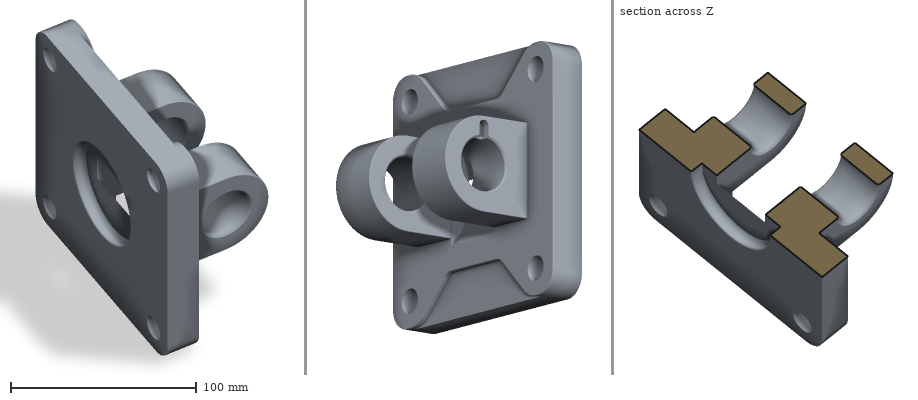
import cadquery as cq
import math

PLATE_SIZE = 140.0
PLATE_THICKNESS = 20.0
CORNER_RADIUS = 12.5
BACK_FILLET = 0.5
MOUNT_HOLE_OFFSET = 55.0
MOUNT_HOLE_DIAMETER = 14.0

RECESS_DIAMETER = 60.0
RECESS_DEPTH = 8.0
RECESS_RIM_FILLET = 1.0

PIN_HEIGHT = 50.0
LUG_GAP = 37.0
LUG_OUTER_WIDTH = 96.0
LUG_RADIUS = 26.5
LUG_EDGE_FILLET = 0.5
PIN_DIAMETER = 30.0
BORE_CHAMFER = 1.0

GROOVE_WIDTH = 6.3
GROOVE_TOP = 24.2
GROOVE_DEPTH = 6.0

CLEARANCE_RADIUS = 42.6

RELIEF_DEPTH = 4.0
EAR_RADIUS = PLATE_SIZE / 2 - MOUNT_HOLE_OFFSET
RELIEF_FLOOR_Z = 44.3
RELIEF_FILLET = 8.9

LUG_WIDTH = (LUG_OUTER_WIDTH - LUG_GAP) / 2


def cylinder_along_x(radius, x_start, length):
    """Cylinder on the pin axis."""
    start = cq.Vector(x_start, PIN_HEIGHT, 0)
    return cq.Workplane(obj=cq.Solid.makeCylinder(radius, length, start, cq.Vector(1, 0, 0)))


def make_blank():
    """Square plate with rounded corners and a recess with a rounded rim in the front face."""
    blank = (
        cq.Workplane("XZ")
        .rect(PLATE_SIZE, PLATE_SIZE)
        .extrude(-PLATE_THICKNESS)
        .edges("|Y")
        .fillet(CORNER_RADIUS)
    )
    recess = cq.Workplane("XZ").circle(RECESS_DIAMETER / 2).extrude(-RECESS_DEPTH)
    rim = cq.selectors.RadiusNthSelector(-1)
    return blank.cut(recess).faces("<Y").edges("%CIRCLE").edges(rim).fillet(RECESS_RIM_FILLET)


def make_mount_holes():
    """Four through holes on a square pattern."""
    hole_pitch = 2 * MOUNT_HOLE_OFFSET
    return (
        cq.Workplane("XZ")
        .rect(hole_pitch, hole_pitch, forConstruction=True)
        .vertices()
        .circle(MOUNT_HOLE_DIAMETER / 2)
        .extrude(-PLATE_THICKNESS)
    )


def make_relief():
    """Cutter for the +Z edge: ear arcs, 45 degree flanks and filleted bottom corners."""
    diagonal = math.sin(math.radians(45))
    half_angle = math.radians(22.5)
    edge_z = PLATE_SIZE / 2

    ear_mid_x = MOUNT_HOLE_OFFSET - EAR_RADIUS * math.sin(half_angle)
    ear_mid_z = MOUNT_HOLE_OFFSET + EAR_RADIUS * math.cos(half_angle)
    flank_top_x = MOUNT_HOLE_OFFSET - EAR_RADIUS * diagonal
    flank_top_z = MOUNT_HOLE_OFFSET + EAR_RADIUS * diagonal

    fillet_z = RELIEF_FLOOR_Z + RELIEF_FILLET
    flank_bottom_z = fillet_z - RELIEF_FILLET * diagonal
    flank_bottom_x = flank_top_x - (flank_top_z - flank_bottom_z)
    floor_x = flank_bottom_x - RELIEF_FILLET * diagonal
    fillet_mid_x = floor_x + RELIEF_FILLET * math.sin(half_angle)
    fillet_mid_z = fillet_z - RELIEF_FILLET * math.cos(half_angle)

    return (
        cq.Workplane("XZ", origin=(0, PLATE_THICKNESS - RELIEF_DEPTH, 0))
        .moveTo(-MOUNT_HOLE_OFFSET, edge_z)
        .threePointArc((-ear_mid_x, ear_mid_z), (-flank_top_x, flank_top_z))
        .lineTo(-flank_bottom_x, flank_bottom_z)
        .threePointArc((-fillet_mid_x, fillet_mid_z), (-floor_x, RELIEF_FLOOR_Z))
        .lineTo(floor_x, RELIEF_FLOOR_Z)
        .threePointArc((fillet_mid_x, fillet_mid_z), (flank_bottom_x, flank_bottom_z))
        .lineTo(flank_top_x, flank_top_z)
        .threePointArc((ear_mid_x, ear_mid_z), (MOUNT_HOLE_OFFSET, edge_z))
        .close()
        .extrude(-RELIEF_DEPTH)
    )


def make_plate():
    """Plate with relieved +Z and -Z edges and a rounded back outline."""
    relief = make_relief()
    plate = make_blank().cut(relief).cut(relief.mirror("XY"))
    plate = plate.faces(">Y").edges().fillet(BACK_FILLET)
    return plate.cut(make_mount_holes())


def make_lug(x_start):
    """Round-ended lug standing on the plate, with its side face edges rounded and its bore chamfered."""
    lug = (
        cq.Workplane("YZ", origin=(x_start, 0, 0))
        .moveTo(PLATE_THICKNESS, -LUG_RADIUS)
        .lineTo(PIN_HEIGHT, -LUG_RADIUS)
        .threePointArc((PIN_HEIGHT + LUG_RADIUS, 0), (PIN_HEIGHT, LUG_RADIUS))
        .lineTo(PLATE_THICKNESS, LUG_RADIUS)
        .close()
        .extrude(LUG_WIDTH)
        .faces("<X or >X")
        .edges()
        .fillet(LUG_EDGE_FILLET)
    )
    bore = cylinder_along_x(PIN_DIAMETER / 2, x_start, LUG_WIDTH)
    smallest = cq.selectors.RadiusNthSelector(0)
    return lug.cut(bore).faces("<X or >X").edges("%CIRCLE").edges(smallest).chamfer(BORE_CHAMFER)


def make_groove():
    """Round-topped groove running up from the bore."""
    half_width = GROOVE_WIDTH / 2
    return (
        cq.Workplane("YZ", origin=(-LUG_OUTER_WIDTH / 2, PIN_HEIGHT, 0))
        .moveTo(-half_width, 0)
        .lineTo(-half_width, GROOVE_TOP - half_width)
        .threePointArc((0, GROOVE_TOP), (half_width, GROOVE_TOP - half_width))
        .lineTo(half_width, 0)
        .close()
        .extrude(GROOVE_DEPTH)
    )


lug_starts = (-LUG_OUTER_WIDTH / 2, LUG_GAP / 2)

result = make_plate()
for lug_start in lug_starts:
    result = result.union(make_lug(lug_start))
eye_clearance = cylinder_along_x(CLEARANCE_RADIUS, -LUG_GAP / 2, LUG_GAP)
result = result.cut(make_groove()).cut(eye_clearance)